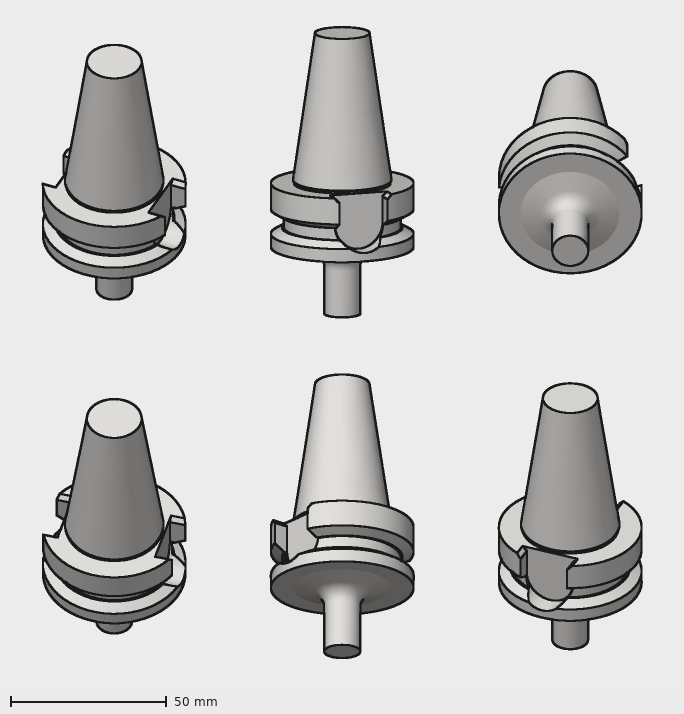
import cadquery as cq
import math


gauge_radius = 31.75 / 2
taper_length = 48.4
taper_ratio = 7 / 24
taper_top_radius = gauge_radius - taper_length * taper_ratio / 2

neck_radius = 31.15 / 2
neck_bevel = gauge_radius - neck_radius

flange_radius = 45.96 / 2
flange_top_z = -1.0
flange_bottom_z = -22.0
groove_center_z = -13.6
groove_mouth_width = 8.1
groove_floor_width = 4.0
groove_floor_radius = 37.7 / 2
groove_flank_angle = math.radians(30)

nose_angle = math.radians(15)
nose_fillet = 5.0
spindle_radius = 11.6 / 2
spindle_bottom_z = -44.0

slot_floor_x = 16.3
slot_width = 16.3
slot_bottom_z = -19.2
slot_chamfer = 1.5


def make_body():
    """Revolve the half profile of the holder about the Z axis."""
    mouth_half = groove_mouth_width / 2
    floor_half = groove_floor_width / 2
    ledge_radius = flange_radius - (mouth_half - floor_half) / math.tan(groove_flank_angle)

    fillet_center_r = spindle_radius + nose_fillet
    cone_end_r = fillet_center_r - nose_fillet * math.sin(nose_angle)
    cone_end_z = flange_bottom_z - (gauge_radius - cone_end_r) * math.tan(nose_angle)
    fillet_center_z = cone_end_z - nose_fillet * math.cos(nose_angle)
    mid_angle = (math.pi / 2 - nose_angle) / 2
    fillet_mid = (
        fillet_center_r - nose_fillet * math.cos(mid_angle),
        fillet_center_z + nose_fillet * math.sin(mid_angle),
    )

    profile = (
        cq.Workplane("XZ")
        .moveTo(0, taper_length)
        .lineTo(taper_top_radius, taper_length)
        .lineTo(gauge_radius, 0)
        .lineTo(neck_radius, -neck_bevel)
        .lineTo(neck_radius, flange_top_z)
        .lineTo(flange_radius, flange_top_z)
        .lineTo(flange_radius, groove_center_z + mouth_half)
        .lineTo(ledge_radius, groove_center_z + floor_half)
        .lineTo(groove_floor_radius, groove_center_z + floor_half)
        .lineTo(groove_floor_radius, groove_center_z - floor_half)
        .lineTo(ledge_radius, groove_center_z - floor_half)
        .lineTo(flange_radius, groove_center_z - mouth_half)
        .lineTo(flange_radius, flange_bottom_z)
        .lineTo(gauge_radius, flange_bottom_z)
        .lineTo(cone_end_r, cone_end_z)
        .threePointArc(fillet_mid, (spindle_radius, fillet_center_z))
        .lineTo(spindle_radius, spindle_bottom_z)
        .lineTo(0, spindle_bottom_z)
        .close()
    )
    return profile.revolve(360, (0, 0, 0), (0, 1, 0))


def make_slot_cutter():
    """Round-bottomed slot with chamfered mouth, on the +X side."""
    half_width = slot_width / 2
    arc_z = slot_bottom_z + half_width
    mouth_half = half_width + slot_chamfer
    chamfer_z = flange_top_z - slot_chamfer
    return (
        cq.Workplane("YZ", origin=(slot_floor_x, 0, 0))
        .moveTo(-mouth_half, flange_top_z)
        .lineTo(-half_width, chamfer_z)
        .lineTo(-half_width, arc_z)
        .threePointArc((0, slot_bottom_z), (half_width, arc_z))
        .lineTo(half_width, chamfer_z)
        .lineTo(mouth_half, flange_top_z)
        .close()
        .extrude(flange_radius)
    )


result = make_body()
for side_angle in (0, 180):
    result = result.cut(make_slot_cutter().rotate((0, 0, 0), (0, 0, 1), side_angle))